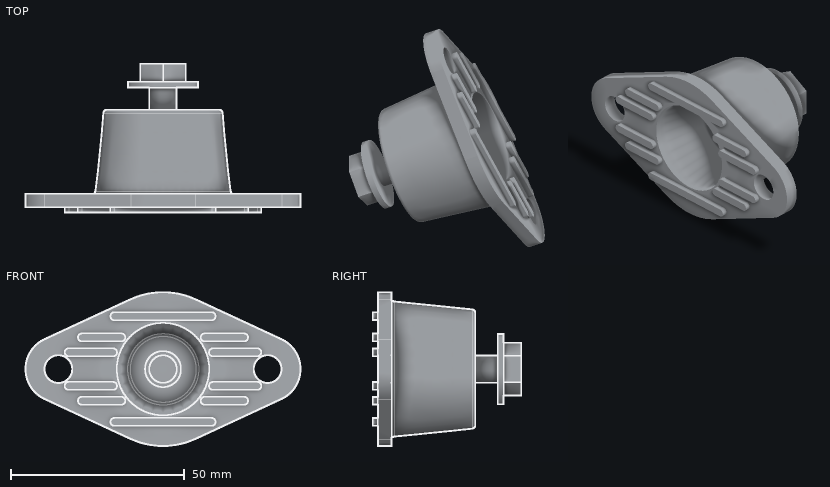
import cadquery as cq
import math


plate_length = 79.3
plate_height = 44.4
plate_thickness = 4.0
ear_radius = 9.5
ear_hole_diameter = 7.9
plate_mid_radius = plate_height / 2
ear_spacing = plate_length / 2 - ear_radius

rib_width = 2.3
rib_height = 1.5
long_rib_row = 15.2
long_rib_length = 30.3
short_ribs = [
    (9.1, 10.9, 24.5),
    (4.8, 13.25, 28.3),
]

dome_height = 24.2
dome_base_radius = 19.5
dome_top_radius = 17.1
dome_rim_fillet = 1.1
dome_base_chamfer_width = 0.3
dome_base_chamfer_height = 0.7

cavity_depth = 16.1
cavity_mouth_radius = 13.3
cavity_floor_radius = 10.15
cavity_floor_fillet = 0.8

sleeve_diameter = 10.4

shank_diameter = 7.9
shank_exposed_length = 6.35
flange_diameter = 20.3
flange_thickness = 1.75
head_across_flats = 13.25
head_height = 5.15
head_across_corners = head_across_flats / math.cos(math.radians(30))

dome_end = plate_thickness + dome_height
end_wall = dome_end - cavity_depth
flange_start = dome_end + shank_exposed_length
head_start = flange_start + flange_thickness


def plane_at(y):
    """Sketch plane facing +Y at the given Y, with local x along -X and local y along +Z."""
    return cq.Workplane(cq.Plane(origin=(0, y, 0), xDir=(-1, 0, 0), normal=(0, 1, 0)))


def disc(diameter, start, length):
    return plane_at(start).circle(diameter / 2).extrude(length)


def revolve_about_y(profile):
    return profile.close().revolve(360, (0, 0, 0), (1, 0, 0))


def make_plate():
    edge_sin = (plate_mid_radius - ear_radius) / ear_spacing
    edge_cos = math.sqrt(1 - edge_sin ** 2)
    mid_x = plate_mid_radius * edge_sin
    mid_z = plate_mid_radius * edge_cos
    ear_x = ear_spacing + ear_radius * edge_sin
    ear_z = ear_radius * edge_cos
    half_length = plate_length / 2
    return (
        plane_at(0)
        .moveTo(-mid_x, mid_z)
        .threePointArc((0, plate_mid_radius), (mid_x, mid_z))
        .lineTo(ear_x, ear_z)
        .threePointArc((half_length, 0), (ear_x, -ear_z))
        .lineTo(mid_x, -mid_z)
        .threePointArc((0, -plate_mid_radius), (-mid_x, -mid_z))
        .lineTo(-ear_x, -ear_z)
        .threePointArc((-half_length, 0), (-ear_x, ear_z))
        .close()
        .extrude(plate_thickness)
    )


def make_dome():
    base_y = plate_thickness + dome_base_chamfer_height
    cone = revolve_about_y(
        cq.Workplane("YZ")
        .lineTo(0, dome_base_radius)
        .lineTo(plate_thickness, dome_base_radius + dome_base_chamfer_width)
        .lineTo(base_y, dome_base_radius)
        .lineTo(dome_end, dome_top_radius)
        .lineTo(dome_end, 0)
    )
    return cone.faces(">Y").edges().fillet(dome_rim_fillet)


def make_cavity():
    cone = revolve_about_y(
        cq.Workplane("YZ")
        .lineTo(0, cavity_mouth_radius)
        .lineTo(cavity_depth, cavity_floor_radius)
        .lineTo(cavity_depth, 0)
    )
    return cone.faces(">Y").edges().fillet(cavity_floor_fillet)


def make_rib(center_x, center_z, length):
    return (
        plane_at(-rib_height)
        .center(-center_x, center_z)
        .slot2D(length, rib_width)
        .extrude(rib_height)
    )


def make_housing():
    body = make_plate().union(make_dome())
    for side_z in (1, -1):
        body = body.union(make_rib(0, side_z * long_rib_row, long_rib_length))
        for row, inner_end, outer_end in short_ribs:
            middle = (inner_end + outer_end) / 2
            for side_x in (1, -1):
                rib = make_rib(side_x * middle, side_z * row, outer_end - inner_end)
                body = body.union(rib)
    ear_holes = (
        plane_at(0)
        .pushPoints([(-ear_spacing, 0), (ear_spacing, 0)])
        .circle(ear_hole_diameter / 2)
        .extrude(plate_thickness)
    )
    sleeve_bore = disc(sleeve_diameter, cavity_depth, end_wall)
    return body.cut(make_cavity()).cut(ear_holes).cut(sleeve_bore)


def make_sleeve():
    bore = disc(shank_diameter, cavity_depth, end_wall)
    return disc(sleeve_diameter, cavity_depth, end_wall).cut(bore)


def make_bolt():
    shank = disc(shank_diameter, cavity_depth, flange_start - cavity_depth)
    flange = disc(flange_diameter, flange_start, flange_thickness)
    head = (
        plane_at(head_start)
        .transformed(rotate=(0, 0, 90))
        .polygon(6, head_across_corners)
        .extrude(head_height)
    )
    return shank.union(flange).union(head)


housing = make_housing()
sleeve = make_sleeve()
bolt = make_bolt()

result = cq.Compound.makeCompound([housing.val(), sleeve.val(), bolt.val()])